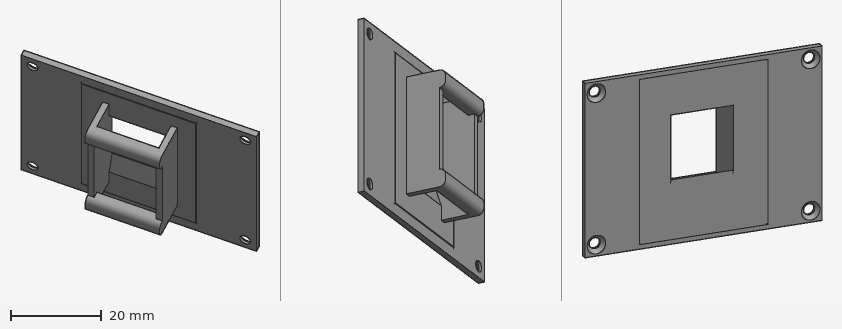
import cadquery as cq

plate_width = 56.5
plate_height = 41.5
plate_thickness = 1.5
screw_hole_diameter = 2.6
screw_spacing_x = 51.1
screw_spacing_z = 36.05
countersink_depth = 0.9
countersink_angle = 90

plug_front_width = 27.35
plug_front_height = 36.05
plug_rise = 0.1

overall_depth = 11.4
wall = 1.5
frame_width = 17.9
frame_height = 28.1
frame_center_x = 0.35
frame_center_z = 0.15
bar_height = 4.25
bar_radius = wall

window_top = 10.0
sill_front = -10.4
sill_back = -5.4

countersink_diameter = screw_hole_diameter + 2 * countersink_depth
plug_depth = plate_thickness + plug_rise
plug_front = -plug_depth
plug_back_width = plug_front_width + 2 * plug_depth
plug_back_height = plug_front_height + 2 * plug_depth
frame_front = -overall_depth
wall_front = frame_front + bar_radius
wall_back = wall_front + wall
inner_width = frame_width - 2 * wall


def make_block(size_x, size_z, y_front, y_back, center_x=0, center_z=0):
    return (
        cq.Workplane("XY")
        .box(size_x, y_back - y_front, size_z)
        .translate((center_x, (y_front + y_back) / 2, center_z))
    )


def make_plug():
    """Frustum that narrows at 45 degrees from the back face of the plate to the front of the plug."""
    return (
        cq.Workplane("XZ")
        .rect(plug_back_width, plug_back_height)
        .workplane(offset=plug_depth)
        .rect(plug_front_width, plug_front_height)
        .loft(ruled=True)
    )


def make_window():
    return (
        cq.Workplane("YZ", origin=(frame_center_x - inner_width / 2, 0, 0))
        .polyline([
            (plug_front, sill_front),
            (plug_front, window_top),
            (0, window_top),
            (0, sill_back),
        ])
        .close()
        .extrude(inner_width)
    )


def make_bar(center_z):
    """Cross bar with rounded front edges, joining the side walls of the frame."""
    bar = make_block(frame_width, bar_height, frame_front, wall_back, frame_center_x, center_z)
    return bar.faces("<Y").edges("|X").fillet(bar_radius)


def make_frame():
    frame = make_block(frame_width, frame_height, wall_front, plug_front, frame_center_x, frame_center_z)
    opening = make_block(inner_width, frame_height, wall_front, plug_front, frame_center_x, frame_center_z)
    frame = frame.cut(opening)
    bar_offset = (frame_height - bar_height) / 2
    for side in (-1, 1):
        frame = frame.union(make_bar(frame_center_z + side * bar_offset))
    return frame


def make_plate():
    plate = make_block(plate_width, plate_height, -plate_thickness, 0)
    plate = (
        plate.faces(">Y")
        .workplane(centerOption="CenterOfBoundBox")
        .rect(screw_spacing_x, screw_spacing_z, forConstruction=True)
        .vertices()
        .cskHole(screw_hole_diameter, countersink_diameter, countersink_angle)
    )
    return plate.cut(make_plug())


def make_insert():
    return make_plug().cut(make_window()).union(make_frame())


plate = make_plate()
insert = make_insert()
result = cq.Compound.makeCompound([plate.solids().val(), insert.solids().val()])